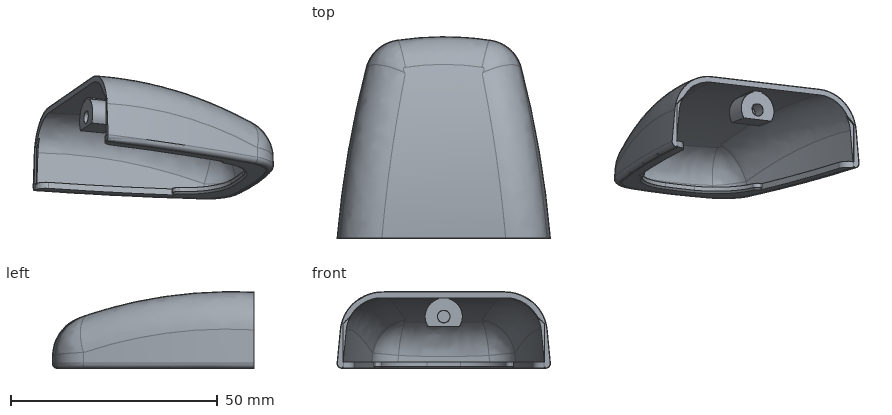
import cadquery as cq

WIDTH = 51.82
LENGTH = 48.73
HEIGHT = 18.53
SIDE_TAPER = 5.5
SIDE_END_Y = 41.0
SIDE_END_HALF_WIDTH = 18.9
SIDE_BULGE = 0.9
REAR_RADIUS = 75.0
CORNER_RADIUS = 9.0
ROOF_RADIUS = 110.0
ROOF_PEAK_Y = 5.5
ROOF_EDGE_RADIUS = 10.0
RIM_RADIUS = 1.2
WALL = 1.4

FLANGE_HEIGHT = 1.5
FLANGE_WIDTH = 2.7
FLANGE_END_RADIUS = 2.6
REAR_FLANGE_WIDTH = 4.3
REAR_FLANGE_START_Y = 32.5
REAR_FLANGE_STEP_RADIUS = 1.5
REAR_OPENING_RADIUS = 12.0
REAR_OPENING_CHAMFER = 0.5

STEP_HALF_WIDTH = 24.4
STEP_DEPTH = 0.4
STEP_SHOULDER_Z = 10.7
STEP_TOP_HALF_WIDTH = 22.6
STEP_TOP_Z = 12.5

BOSS_DIAMETER = 9.0
BOSS_Z = 12.5
BOSS_BOTTOM_Z = 10.1
BOSS_FRONT_Y = 4.0
BOSS_LENGTH = 6.0
BOSS_NECK_WIDTH = 2.5
HOLE_DIAMETER = 3.0
HOLE_DEPTH = 4.0

OVERRUN = 5.0


def side_half_width(y, inset):
    """Half width of the rim at distance y from the front, following the curved side."""
    chord_slope = (SIDE_END_HALF_WIDTH - WIDTH / 2) / SIDE_END_Y
    bulge = 4 * SIDE_BULGE * y * (SIDE_END_Y - y) / SIDE_END_Y**2
    return WIDTH / 2 + chord_slope * y + bulge - inset


def plan_prism(inset, height, corner_radius, taper=0):
    """Prism on the rim outline moved inward by inset, running past the open front."""
    front = -OVERRUN
    middle = SIDE_END_Y / 2
    back = LENGTH + OVERRUN
    front_half = side_half_width(front, inset)
    middle_half = side_half_width(middle, inset)
    back_half = side_half_width(back, inset)
    between_sides = (
        cq.Workplane("XY")
        .moveTo(-front_half, front)
        .lineTo(front_half, front)
        .threePointArc((middle_half, middle), (back_half, back))
        .lineTo(-back_half, back)
        .threePointArc((-middle_half, middle), (-front_half, front))
        .close()
        .extrude(height, taper=taper)
    )
    rear_disc = (
        cq.Workplane("XY")
        .center(0, LENGTH - REAR_RADIUS)
        .circle(REAR_RADIUS - inset)
        .extrude(height)
    )
    prism = between_sides.intersect(rear_disc)
    rear_zone = cq.selectors.BoxSelector((-WIDTH, middle, height / 4), (WIDTH, back, height * 3 / 4))
    return prism.edges(rear_zone).fillet(corner_radius)


def slab(y_start, y_end):
    """Block that covers the whole cover between two Y positions."""
    return cq.Workplane("XY").box(2 * WIDTH, y_end - y_start, 2 * HEIGHT).translate(
        (0, (y_start + y_end) / 2, HEIGHT)
    )


def make_body():
    """Solid outer form with a sharp rim, running past the open front."""
    roof_cylinder = (
        cq.Workplane("YZ")
        .center(ROOF_PEAK_Y, HEIGHT - ROOF_RADIUS)
        .circle(ROOF_RADIUS)
        .extrude(WIDTH, both=True)
    )
    body = plan_prism(0, HEIGHT + OVERRUN, CORNER_RADIUS, SIDE_TAPER).intersect(roof_cylinder)
    return body.faces(">Z").edges("not <Y").fillet(ROOF_EDGE_RADIUS)


def make_walls(body):
    """Hollow body with a rounded rim, trimmed to the open front."""
    walls = body.faces("<Z").shell(-WALL)
    rim_edges = walls.faces("<Z").val().outerWire().Edges()
    side_and_rear_edges = [edge for edge in rim_edges if edge.Center().y > 0]
    walls = walls.newObject(side_and_rear_edges).fillet(RIM_RADIUS)
    return walls.intersect(slab(0, LENGTH))


def make_flange():
    outline = plan_prism(RIM_RADIUS, FLANGE_HEIGHT, CORNER_RADIUS)
    side_opening = plan_prism(WALL + FLANGE_WIDTH, FLANGE_HEIGHT, REAR_OPENING_RADIUS)
    side_opening = side_opening.intersect(slab(-OVERRUN, REAR_FLANGE_START_Y))
    rear_opening = plan_prism(WALL + REAR_FLANGE_WIDTH, FLANGE_HEIGHT, REAR_OPENING_RADIUS)
    flange = outline.intersect(slab(0, LENGTH)).cut(side_opening).cut(rear_opening)

    front_half = side_half_width(0, WALL + FLANGE_WIDTH)
    step_half = side_half_width(REAR_FLANGE_START_Y, WALL + REAR_FLANGE_WIDTH)
    for side in (-1, 1):
        front_end = (side * front_half, 0, FLANGE_HEIGHT / 2)
        flange = flange.edges(cq.selectors.NearestToPointSelector(front_end)).fillet(FLANGE_END_RADIUS)
        step = (side * step_half, REAR_FLANGE_START_Y, FLANGE_HEIGHT / 2)
        flange = flange.edges(cq.selectors.NearestToPointSelector(step)).fillet(REAR_FLANGE_STEP_RADIUS)
    rear_opening_edge = cq.selectors.BoxSelector(
        (-step_half, REAR_FLANGE_START_Y, -OVERRUN),
        (step_half, LENGTH - REAR_FLANGE_WIDTH, FLANGE_HEIGHT / 4),
    )
    return flange.edges(rear_opening_edge).chamfer(REAR_OPENING_CHAMFER)


def make_front_step():
    return (
        cq.Workplane("XZ")
        .moveTo(-STEP_HALF_WIDTH, FLANGE_HEIGHT)
        .lineTo(-STEP_HALF_WIDTH, STEP_SHOULDER_Z)
        .lineTo(-STEP_TOP_HALF_WIDTH, STEP_TOP_Z)
        .lineTo(STEP_TOP_HALF_WIDTH, STEP_TOP_Z)
        .lineTo(STEP_HALF_WIDTH, STEP_SHOULDER_Z)
        .lineTo(STEP_HALF_WIDTH, FLANGE_HEIGHT)
        .close()
        .extrude(-STEP_DEPTH)
    )


def boss_sketch():
    """Workplane on the front face of the boss, centred on its axis."""
    return cq.Workplane("XZ", origin=(0, BOSS_FRONT_Y, BOSS_Z))


def make_boss():
    cylinder = boss_sketch().circle(BOSS_DIAMETER / 2).extrude(-BOSS_LENGTH)
    return cylinder.intersect(slab(0, LENGTH).translate((0, 0, BOSS_BOTTOM_Z)))


def make_boss_neck():
    neck_height = HEIGHT - WALL / 2 - BOSS_Z
    return (
        boss_sketch()
        .center(0, neck_height / 2)
        .rect(BOSS_NECK_WIDTH, neck_height)
        .extrude(-BOSS_LENGTH)
    )


def make_boss_hole():
    return boss_sketch().circle(HOLE_DIAMETER / 2).extrude(-HOLE_DEPTH)


body = make_body()
cover = make_walls(body).union(make_flange()).cut(make_front_step())
result = cover.union(make_boss_neck()).union(make_boss()).cut(make_boss_hole())